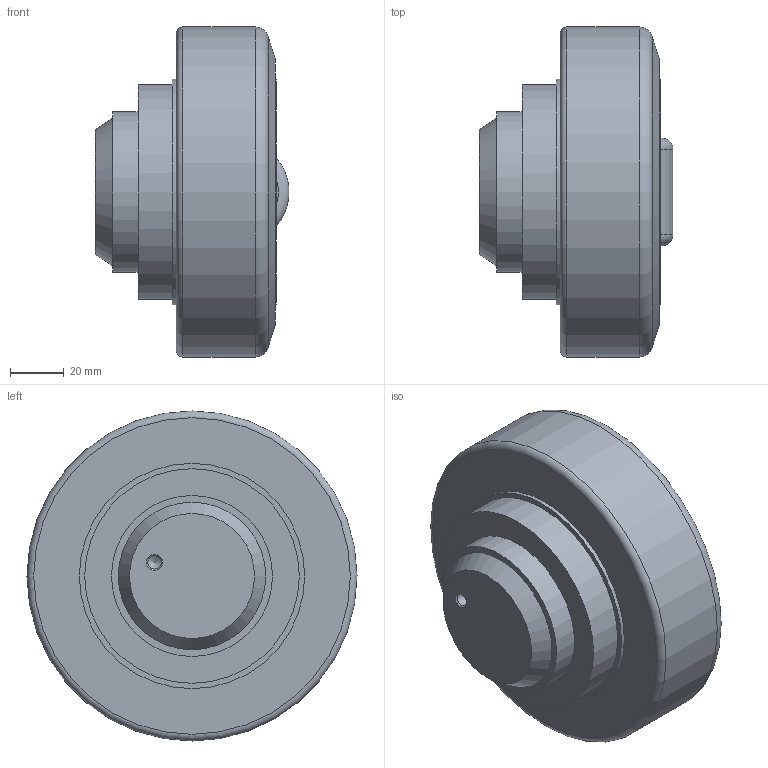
import cadquery as cq
import math


pin_tip_radius = 23.3
pin_cone_radius = 27.5
pin_cone_end_x = 6.5
pin_radius = 30.0
pin_end_x = 16.0
shoulder_radius = 40.0
shoulder_end_x = 28.7

disc_radius = 42.0
disc_end_x = 67.6

ring_radius = 61.5
ring_start_x = 30.2
ring_end_x = 67.2
ring_fillet = 2.5
ring_crown_radius = 5.0
ring_crown_start_x = 59.7
ring_face_slope = math.radians(17.5)

overall_length = 72.3
roller_radius = 19.3
roller_width = 40.0
roller_fillet = 4.0

hole_y = 14.0
hole_z = 5.1
hole_radius = 2.5
hole_chamfer = 0.5
hole_depth = 10.0
drill_tip_angle = 118.0


def revolve_about_x(half_profile):
    """Turn a closed half profile in the XY plane fully around the X axis."""
    return half_profile.revolve(360, (0, 0, 0), (1, 0, 0))


def pin_and_discs():
    """Revolve the stepped pin together with the side discs."""
    half_profile = (
        cq.Workplane("XY")
        .lineTo(0, pin_tip_radius)
        .lineTo(pin_cone_end_x, pin_cone_radius)
        .lineTo(pin_cone_end_x, pin_radius)
        .lineTo(pin_end_x, pin_radius)
        .lineTo(pin_end_x, shoulder_radius)
        .lineTo(shoulder_end_x, shoulder_radius)
        .lineTo(shoulder_end_x, disc_radius)
        .lineTo(disc_end_x, disc_radius)
        .lineTo(disc_end_x, 0)
        .close()
    )
    return revolve_about_x(half_profile)


def rolling_ring():
    """Revolve the ring: rounded near edge, crowned far edge running into a conical face."""
    crown_center_radius = ring_radius - ring_crown_radius

    def crown_point(angle):
        return (
            ring_crown_start_x + ring_crown_radius * math.sin(angle),
            crown_center_radius + ring_crown_radius * math.cos(angle),
        )

    crown_angle = math.pi / 2 - ring_face_slope
    crown_end_x, crown_end_radius = crown_point(crown_angle)
    face_radius = crown_end_radius - (ring_end_x - crown_end_x) / math.tan(ring_face_slope)
    half_profile = (
        cq.Workplane("XY")
        .moveTo(ring_start_x, 0)
        .lineTo(ring_start_x, ring_radius - ring_fillet)
        .radiusArc((ring_start_x + ring_fillet, ring_radius), ring_fillet)
        .lineTo(ring_crown_start_x, ring_radius)
        .threePointArc(crown_point(crown_angle / 2), (crown_end_x, crown_end_radius))
        .lineTo(ring_end_x, face_radius)
        .lineTo(ring_end_x, 0)
        .close()
    )
    return revolve_about_x(half_profile)


def side_roller():
    """Cylinder along Y with rounded rims, reaching the full length of the part."""
    return (
        cq.Workplane("XZ")
        .center(overall_length - roller_radius, 0)
        .circle(roller_radius)
        .extrude(roller_width / 2, both=True)
        .edges()
        .fillet(roller_fillet)
    )


def pin_hole():
    """Chamfered blind hole with a drilled conical bottom."""
    tip_length = hole_radius / math.tan(math.radians(drill_tip_angle / 2))
    half_profile = (
        cq.Workplane("XY")
        .lineTo(0, hole_radius + hole_chamfer)
        .lineTo(hole_chamfer, hole_radius)
        .lineTo(hole_depth, hole_radius)
        .lineTo(hole_depth + tip_length, 0)
        .close()
    )
    return revolve_about_x(half_profile).translate((0, hole_y, hole_z))


result = pin_and_discs().union(rolling_ring()).union(side_roller()).cut(pin_hole())